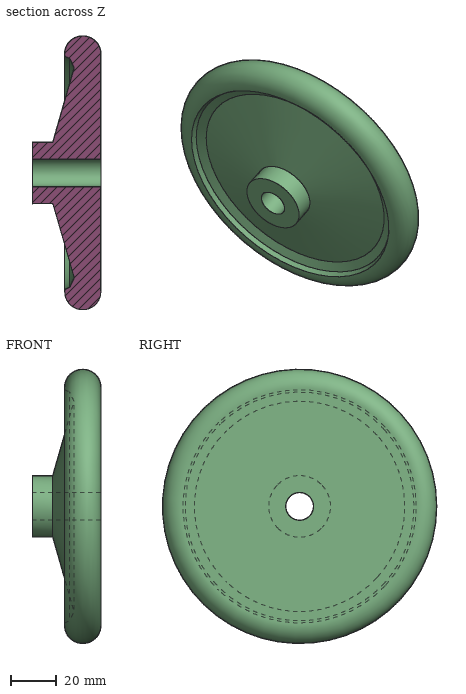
import cadquery as cq
import math

overall_length = 30.0
wheel_diameter = 120.0
rim_width = 16.0

hub_diameter = 27.0
bore_diameter = 12.0
hub_length = 8.85

web_outer_radius = 46.0
web_angle = 16.0

recess_step_radius = 50.0
recess_step_x = 16.3
recess_mouth_radius = 51.0

wheel_radius = wheel_diameter / 2
hub_radius = hub_diameter / 2
bore_radius = bore_diameter / 2
rim_radius = rim_width / 2
rim_centre_radius = wheel_radius - rim_radius
rim_centre_x = overall_length - rim_radius
web_outer_x = hub_length + (web_outer_radius - hub_radius) * math.tan(math.radians(web_angle))
mouth_offset = rim_centre_radius - recess_mouth_radius
rim_arc_half_width = math.sqrt(rim_radius**2 - mouth_offset**2)
recess_mouth_x = rim_centre_x - rim_arc_half_width
back_x = rim_centre_x + rim_arc_half_width


def wheel_section():
    """Half section of the wheel; sketch x is the wheel axis, sketch y the radius."""
    return (
        cq.Workplane("XY")
        .moveTo(0, bore_radius)
        .lineTo(0, hub_radius)
        .lineTo(hub_length, hub_radius)
        .lineTo(web_outer_x, web_outer_radius)
        .lineTo(recess_step_x, recess_step_radius)
        .lineTo(recess_mouth_x, recess_mouth_radius)
        .threePointArc((rim_centre_x, wheel_radius), (back_x, recess_mouth_radius))
        .lineTo(back_x, bore_radius)
        .close()
    )


result = wheel_section().revolve(360, (0, 0, 0), (1, 0, 0))